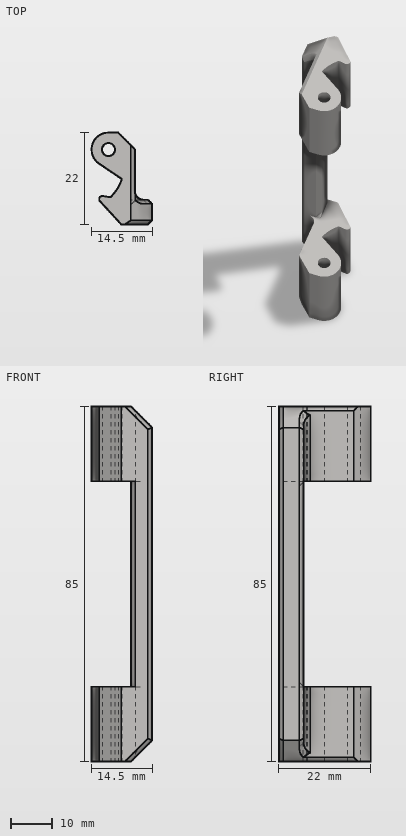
import cadquery as cq
import math

width = 14.5
depth = 22.0
height = 85.0
half_height = height / 2
chamfer = 1.0

barrel_radius = 4.1
barrel_x = barrel_radius
barrel_y = depth - barrel_radius
pin_diameter = 3.1
flank_angle = math.radians(34)
flank_end_y = 10.9

wall_x = 10.45
rail_depth = 5.95
root_radius = 2.1
root_end_x = 12.5

hook_mid = (6.6, 9.35)
hook_corner = (5.5, 7.65)
hook_base = (4.6, 6.55)
nose_x = 2.6
nose_y = 6.0
nose_radius = 0.81
nose_bottom_y = 5.8
front_start_x = 7.1

arm_length = 17.9
window_half = half_height - arm_length
rail_x = 9.4
rail_chamfer = 1.1
end_slope = 5.1


def on_circle(x, y, radius, degrees):
    angle = math.radians(degrees)
    return (x + radius * math.cos(angle), y + radius * math.sin(angle))


def arm_profile():
    flank_start = on_circle(barrel_x, barrel_y, barrel_radius, 270 - math.degrees(flank_angle))
    flank_run = (flank_start[1] - flank_end_y) / math.tan(flank_angle)
    corner_x = wall_x - barrel_radius
    root_y = rail_depth + root_radius
    wall_angle = 180 + math.degrees(math.acos((root_end_x - wall_x) / root_radius))
    root_start = on_circle(root_end_x, root_y, root_radius, wall_angle)
    root_mid = on_circle(root_end_x, root_y, root_radius, (wall_angle + 270) / 2)
    return (
        cq.Workplane("XY", origin=(0, 0, -half_height))
        .moveTo(barrel_x, depth)
        .threePointArc((0, barrel_y), flank_start)
        .lineTo(flank_start[0] + flank_run, flank_end_y)
        .threePointArc(hook_mid, hook_corner)
        .lineTo(*hook_base)
        .lineTo(*on_circle(nose_x, nose_y, nose_radius, 80))
        .threePointArc(
            on_circle(nose_x, nose_y, nose_radius, 130),
            on_circle(nose_x, nose_y, nose_radius, 180),
        )
        .lineTo(nose_x - nose_radius, nose_bottom_y)
        .lineTo(front_start_x, 0)
        .lineTo(width, 0)
        .lineTo(width, rail_depth)
        .lineTo(root_end_x, rail_depth)
        .threePointArc(root_mid, root_start)
        .lineTo(wall_x, barrel_y)
        .lineTo(corner_x, depth)
        .close()
    )


def end_cut(side):
    """Wedge that slopes the outer corner of one end; side is 1 for top, -1 for bottom."""
    return (
        cq.Workplane("XZ")
        .polyline([
            (width - end_slope, side * half_height),
            (width, side * half_height),
            (width, side * (half_height - end_slope)),
        ])
        .close()
        .extrude(-depth)
    )


def window_cut():
    """Opening between the arms that leaves only the rail standing."""
    inner_side = cq.Workplane("XY").box(
        rail_x, depth, 2 * window_half, centered=(False, False, True)
    )
    back_side = cq.Workplane("XY", origin=(0, rail_depth, 0)).box(
        width, depth - rail_depth, 2 * window_half, centered=(False, False, True)
    )
    return inner_side.union(back_side)


def rail_front_cut():
    """Chamfer along the inner front edge of the rail, square at both arms."""
    return (
        cq.Workplane("XY", origin=(0, 0, -window_half))
        .polyline([(rail_x, 0), (rail_x + rail_chamfer, 0), (rail_x, rail_chamfer)])
        .close()
        .extrude(2 * window_half)
    )


def rail_back_cut():
    """Chamfer along the inner back edge of the rail, ending on 45 degree planes."""
    prism = (
        cq.Workplane("XY", origin=(0, 0, -window_half))
        .polyline([
            (rail_x, rail_depth),
            (rail_x + rail_chamfer, rail_depth),
            (rail_x, rail_depth - rail_chamfer),
        ])
        .close()
        .extrude(2 * window_half)
    )
    ends = (
        cq.Workplane("YZ")
        .polyline([
            (rail_depth, -window_half),
            (rail_depth, window_half),
            (rail_depth - rail_chamfer, window_half - rail_chamfer),
            (rail_depth - rail_chamfer, -window_half + rail_chamfer),
        ])
        .close()
        .extrude(width)
    )
    return prism.intersect(ends)


def rim_edges(solid, low_y, high_y):
    """Outer upright edge and sloped end edges of the rail within a band of Y."""
    edges = []
    for edge in solid.edges().vals():
        center = edge.Center()
        in_band = low_y < center.y < high_y
        is_outer_upright = edge.BoundingBox().xmin > width - chamfer / 2
        is_end_slope = center.x > wall_x and abs(center.z) > window_half
        if in_band and (is_outer_upright or is_end_slope):
            edges.append(edge)
    return edges


body = arm_profile().extrude(height)
for side in (1, -1):
    body = body.cut(end_cut(side))

front_band = (-chamfer / 2, chamfer / 2)
back_band = (rail_depth - chamfer / 2, rail_depth + chamfer)
for low_y, high_y in (front_band, back_band):
    body = body.newObject(rim_edges(body, low_y, high_y)).chamfer(chamfer)

pin_hole = (
    cq.Workplane("XY", origin=(barrel_x, barrel_y, -half_height))
    .circle(pin_diameter / 2)
    .extrude(height)
)
result = (
    body.cut(window_cut())
    .cut(rail_front_cut())
    .cut(rail_back_cut())
    .cut(pin_hole)
)